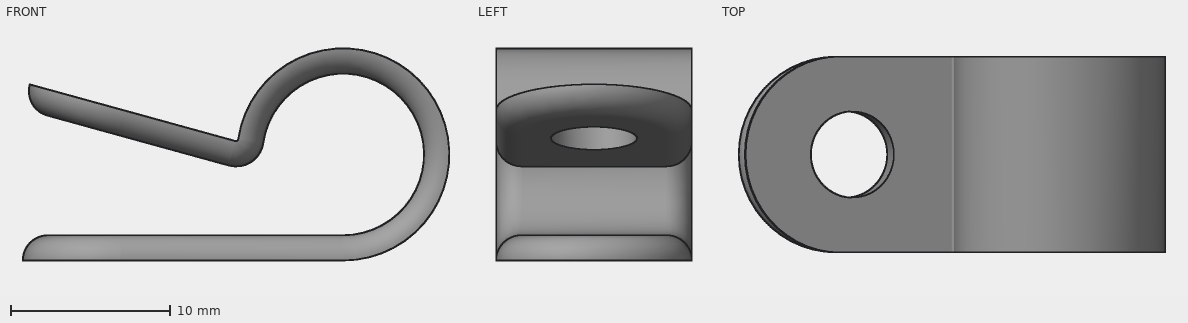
import cadquery as cq
import math

WIDTH = 12.3
THICKNESS = 1.6
LOOP_RADIUS = 6.665
LOOP_END_ANGLE = 8.2

LOWER_STRAIGHT = 13.97
UPPER_STRAIGHT = 7.25
UPPER_TILT = 15.4
BEND_RADIUS = 0.13

HOLE_DIAMETER = 5.4
HOLE_OFFSET = 0.8

HALF_WIDTH = WIDTH / 2
HALF_FLAT = HALF_WIDTH - THICKNESS
ROUND_MIDDLE = THICKNESS * math.sqrt(0.5)

BEND_AXIS_X = -(LOOP_RADIUS + BEND_RADIUS) * math.cos(math.radians(LOOP_END_ANGLE))
BEND_AXIS_Z = (LOOP_RADIUS + BEND_RADIUS) * math.sin(math.radians(LOOP_END_ANGLE))


def strap_section(plane, outer_level, inward):
    """Strap section: local x is the width, local y the thickness; inward is +1 or -1."""
    inner_level = outer_level + inward * THICKNESS
    middle_level = outer_level + inward * ROUND_MIDDLE
    middle_width = HALF_FLAT + ROUND_MIDDLE
    return (
        cq.Workplane(plane)
        .moveTo(-HALF_WIDTH, outer_level)
        .lineTo(HALF_WIDTH, outer_level)
        .threePointArc((middle_width, middle_level), (HALF_FLAT, inner_level))
        .lineTo(-HALF_FLAT, inner_level)
        .threePointArc((-middle_width, middle_level), (-HALF_WIDTH, outer_level))
        .close()
    )


def make_leg(straight):
    """Leg running along -X from the origin, outer face on Z = 0 and inner face above."""
    section_plane = cq.Plane(origin=(0, 0, 0), xDir=(0, -1, 0), normal=(-1, 0, 0))
    run = strap_section(section_plane, 0, 1).extrude(straight)
    end = (
        cq.Workplane("XZ")
        .lineTo(HALF_WIDTH, 0)
        .threePointArc((HALF_FLAT + ROUND_MIDDLE, ROUND_MIDDLE), (HALF_FLAT, THICKNESS))
        .lineTo(0, THICKNESS)
        .close()
        .revolve(360, (0, 0), (0, 1))
        .intersect(cq.Workplane("XY").box(WIDTH, WIDTH, WIDTH).translate((-HALF_WIDTH, 0, 0)))
        .translate((-straight, 0, 0))
    )
    hole = (
        cq.Workplane("XY")
        .center(HOLE_OFFSET - straight, 0)
        .circle(HOLE_DIAMETER / 2)
        .extrude(THICKNESS)
    )
    return run.union(end).cut(hole)


def make_loop():
    """Strap turned about the Y axis, from the lower leg round to the bend."""
    bottom_plane = cq.Plane(origin=(0, 0, 0), xDir=(0, 1, 0), normal=(1, 0, 0))
    sweep_angle = 270 - LOOP_END_ANGLE
    section = strap_section(bottom_plane, -LOOP_RADIUS, 1)
    return section.revolve(sweep_angle, (0, 0), (-1, 0))


def make_bend():
    """Strap turned about the bend axis, joining the upper leg to the loop."""
    bend_plane = cq.Plane(origin=(0, 0, 0), xDir=(0, 1, 0), normal=(1, 0, 0))
    bend_angle = 90 + UPPER_TILT - LOOP_END_ANGLE
    bend = strap_section(bend_plane, -BEND_RADIUS, -1).revolve(bend_angle, (0, 0), (-1, 0))
    return bend.rotate((0, 0, 0), (0, 1, 0), UPPER_TILT)


def place_at_bend(body):
    """Move a body from the origin to the bend axis."""
    return body.translate((BEND_AXIS_X, 0, BEND_AXIS_Z))


lower_leg = make_leg(LOWER_STRAIGHT).translate((0, 0, -LOOP_RADIUS))
upper_leg = (
    make_leg(UPPER_STRAIGHT)
    .rotate((0, 0, 0), (1, 0, 0), 180)
    .translate((0, 0, -BEND_RADIUS))
    .rotate((0, 0, 0), (0, 1, 0), UPPER_TILT)
)

result = (
    make_loop()
    .union(lower_leg)
    .union(place_at_bend(make_bend()))
    .union(place_at_bend(upper_leg))
)